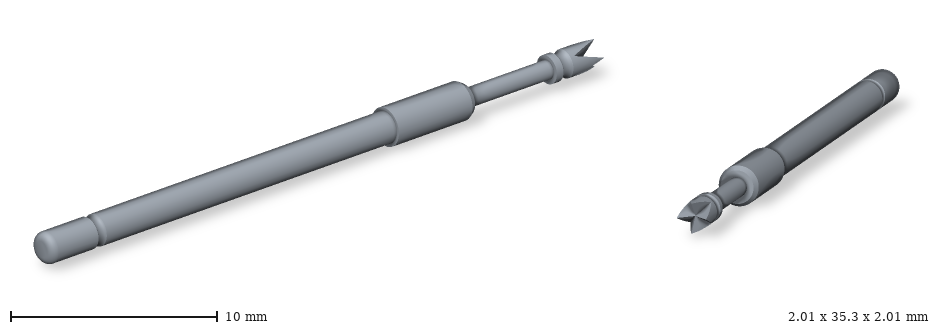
import cadquery as cq
import math

total_length = 35.3

barrel_radius = 0.83
tail_round = 0.4
groove_start = 2.93
groove_end = 3.45
groove_depth = 0.15

collar_radius = 1.005
collar_start = 21.95
collar_end = 26.97
collar_chamfer_length = 0.32
collar_chamfer_depth = 0.18

rod_radius = 0.5
head_radius = 0.75
band_start = 32.25
band_end = 32.7
neck_depth = 0.125
crown_base = 33.32

tip_count = 4
tip_rise = head_radius
valley_drop = 1.005
crown_center = total_length - tip_rise


def turned_body():
    """Revolve the whole outline, from the tail to the uncut crown, about Y."""
    groove_middle = (groove_start + groove_end) / 2
    neck_middle = (band_end + crown_base) / 2
    round_middle = tail_round * (1 - math.sqrt(0.5))
    chamfer_start = collar_end - collar_chamfer_length
    outline = (
        cq.Workplane("XY")
        .lineTo(barrel_radius - tail_round, 0)
        .threePointArc((barrel_radius - round_middle, round_middle), (barrel_radius, tail_round))
        .lineTo(barrel_radius, groove_start)
        .threePointArc((barrel_radius - groove_depth, groove_middle), (barrel_radius, groove_end))
        .lineTo(barrel_radius, collar_start)
        .lineTo(collar_radius, collar_start)
        .lineTo(collar_radius, chamfer_start)
        .lineTo(collar_radius - collar_chamfer_depth, collar_end)
        .lineTo(rod_radius, collar_end)
        .lineTo(rod_radius, band_start)
        .lineTo(head_radius, band_start)
        .lineTo(head_radius, band_end)
        .threePointArc((head_radius - neck_depth, neck_middle), (head_radius, crown_base))
        .lineTo(head_radius, total_length)
        .lineTo(0, total_length)
        .close()
    )
    return outline.revolve(360, (0, 0, 0), (0, 1, 0))


def crown_notch():
    """V-shaped prism whose valley line slopes from the crown centre down to its rim.

    The valley lies in the XY plane. Its side slope makes the faces of neighbouring
    notches meet in the ridge that ends at a tip.
    """
    valley_slope = -valley_drop / head_radius
    half_pitch = math.pi / tip_count
    ridge_slope = tip_rise / head_radius
    side_slope = (ridge_slope - valley_slope * math.cos(half_pitch)) / math.sin(half_pitch)

    depth = 4 * head_radius
    half_width = depth * math.hypot(1, valley_slope) / side_slope
    valley_plane = cq.Plane(
        origin=(0, crown_center, 0),
        xDir=(0, 0, -1),
        normal=(1, valley_slope, 0),
    )
    return (
        cq.Workplane(valley_plane)
        .polyline([(0, 0), (half_width, depth), (-half_width, depth)])
        .close()
        .extrude(depth, both=True)
    )


result = turned_body()
notch = crown_notch()
for index in range(tip_count):
    notch_angle = (index + 0.5) * 360 / tip_count
    result = result.cut(notch.rotate((0, 0, 0), (0, 1, 0), notch_angle))